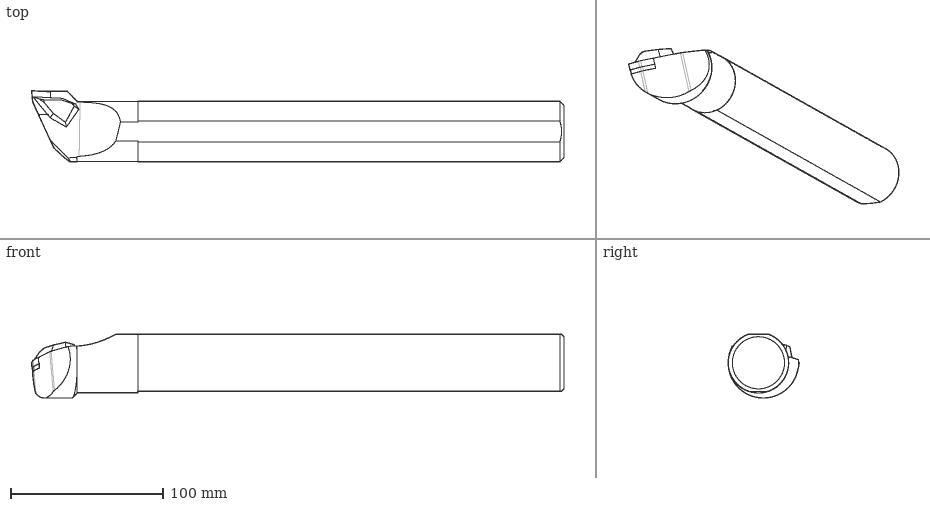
import cadquery as cq
import math


bar_length = 350.0
shank_radius = 20.0
flat_depth = 1.2
flat_height = shank_radius - flat_depth
neck_length = 70.0
neck_relief = 0.18
rear_chamfer = 2.8

head_offset = 3.25
head_radius = shank_radius + head_offset
head_length = 30.0

tip_reach = 27.0
side_tilt = 11.0
back_tilt = 5.0

nose_corner = (0.88, -7.7)
belly_corner = (13.0, -33.2)
belly_angle = 45.0
corner_round = 4.5

gullet_floor_end = 32.2
gullet_radius = 45.5
gullet_sweep = 50.0

clamp_height = 7.5
clamp_foot = [(23.5, -24.5), (31.5, -12.5), (29.5, -9.0), (20.3, -5.2), (1.0, -4.2), (12.5, -18.2)]
clamp_top = [(23.5, -22.8), (29.0, -12.0), (27.5, -10.0), (20.3, -7.7), (7.7, -7.7), (15.5, -16.8)]
ramp_start_height = 1.5
ramp_length = 9.0

insert_thickness = 4.2
insert_length = 12.5
insert_width = 16.0
insert_side_fall = 1.0
pad_thickness = 2.8
pad_inset = 0.5

overrun = 28.0


def point_along(start, end, v):
    """The point at the given v on the line through two u, v points."""
    share = (v - start[1]) / (end[1] - start[1])
    return (start[0] + share * (end[0] - start[0]), v)


def rake_frame():
    side = math.radians(side_tilt)
    back = math.radians(back_tilt)
    normal = (-math.sin(back) * math.cos(side), math.sin(side), math.cos(back) * math.cos(side))
    return cq.Plane(origin=(0, tip_reach, 0), xDir=(math.cos(back), 0, math.sin(back)), normal=normal)


def in_rake_frame(shape):
    """Move a shape drawn in u, v, w to its tilted place on the bar."""
    return cq.Workplane(shape.val().moved(cq.Location(rake_frame())))


def rod(radius, start, end, offset=0.0):
    return cq.Workplane("YZ", origin=(start, offset, 0)).circle(radius).extrude(end - start)


def slab(top, bottom):
    """A block as long as the bar and wider than it, between two heights."""
    corner = cq.Vector(0, -2 * head_radius, bottom)
    return cq.Workplane(cq.Solid.makeBox(bar_length, 4 * head_radius, top - bottom, corner))


def shank():
    bar = rod(shank_radius, neck_length, bar_length).faces(">X").chamfer(rear_chamfer)
    return bar.intersect(slab(flat_height, -flat_height))


def neck_and_head():
    neck = rod(shank_radius - neck_relief, head_length, neck_length)
    neck = neck.intersect(slab(flat_height, -head_radius))
    front = -overrun
    cone_length = head_length - front
    cone_front = cq.Vector(front, 0, 0)
    x_axis = cq.Vector(1, 0, 0)
    taper = cq.Workplane(
        cq.Solid.makeCone(shank_radius + cone_length, shank_radius, cone_length, cone_front, x_axis)
    )
    head = rod(head_radius, front, head_length, head_offset).intersect(taper)
    return head.union(neck)


def front_waste():
    """Everything in front of the three front faces, which stand square to the rake floor."""
    top = overrun
    bottom = belly_corner[1] - overrun
    nose_top = point_along((0, 0), nose_corner, top)
    belly_end = (belly_corner[0] + overrun / math.tan(math.radians(belly_angle)), bottom)
    far = -2 * overrun
    outline = [nose_top, nose_corner, belly_corner, belly_end, (far, bottom), (far, top)]
    waste = cq.Workplane("XY").workplane(offset=-2 * overrun).polyline(outline).close().extrude(4 * overrun)
    for corner in (nose_corner, belly_corner):
        edge = cq.selectors.NearestToPointSelector((corner[0], corner[1], 0))
        waste = waste.edges("|Z").edges(edge).fillet(corner_round)
    return in_rake_frame(waste)


def clamp_block():
    """The drafted block, with a ramp that lowers it towards the tip."""
    block = (
        cq.Workplane("XY")
        .polyline(clamp_foot)
        .close()
        .workplane(offset=clamp_height)
        .polyline(clamp_top)
        .close()
        .loft(ruled=True)
    )
    slope = (clamp_height - ramp_start_height) / ramp_length
    low = (-overrun, ramp_start_height - slope * overrun)
    high = (overrun, ramp_start_height + slope * overrun)
    above_ramp = (
        cq.Workplane("XZ", origin=(0, 2 * overrun, 0))
        .polyline([low, high, (-overrun, high[1])])
        .close()
        .extrude(4 * overrun)
    )
    return block.cut(above_ramp)


def gullet():
    """The chip space: a flat floor that runs out upwards on an arc, leaving the clamp block."""
    def on_arc(angle):
        turn = math.radians(angle)
        return (gullet_floor_end + gullet_radius * math.sin(turn), gullet_radius * (1 - math.cos(turn)))

    arc_end = on_arc(gullet_sweep)
    ceiling = 2 * overrun
    space = (
        cq.Workplane("XZ", origin=(0, overrun, 0))
        .moveTo(-overrun, 0)
        .lineTo(gullet_floor_end, 0)
        .threePointArc(on_arc(gullet_sweep / 2), arc_end)
        .lineTo(arc_end[0], ceiling)
        .lineTo(-overrun, ceiling)
        .close()
        .extrude(4 * overrun)
    )
    return in_rake_frame(space.cut(clamp_block()))


def insert_plate(top, thickness):
    """A plate with the insert's outline, its top face at the given w."""
    seat_corner = point_along(nose_corner, belly_corner, -insert_width)
    outline = [
        (0, 0),
        nose_corner,
        seat_corner,
        (insert_length, -insert_width),
        (insert_length, -insert_side_fall),
    ]
    plate = cq.Workplane("XY").workplane(offset=top - thickness).polyline(outline).close().extrude(thickness)
    edge = cq.selectors.NearestToPointSelector((nose_corner[0], nose_corner[1], top - thickness / 2))
    return plate.edges("|Z").edges(edge).fillet(corner_round)


def shim_pad():
    """The step under the insert, set back from the insert's sides."""
    pad = insert_plate(-insert_thickness, pad_thickness)
    return in_rake_frame(pad.translate((pad_inset, -pad_inset, 0)))


def make_holder():
    head = neck_and_head().cut(gullet()).cut(front_waste())
    pocket = in_rake_frame(insert_plate(0, insert_thickness + pad_thickness))
    return shank().union(head).cut(pocket).union(shim_pad().intersect(pocket))


def make_insert():
    return in_rake_frame(insert_plate(0, insert_thickness))


holder = make_holder()
insert = make_insert()
result = cq.Compound.makeCompound([holder.val(), insert.val()])